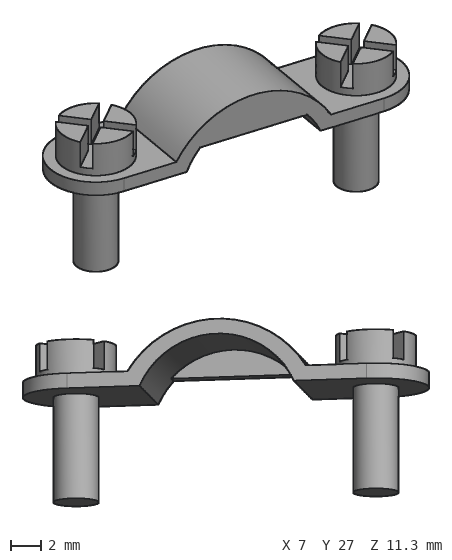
import cadquery as cq
import math

length = 27.0
width = 7.0
thickness = 1.0
arch_height = 4.32
outer_radius = 7.0
inner_radius = 5.65

web_thickness = 1.0
web_bottom = 1.55

screw_offset = (length - width) / 2
head_diameter = 5.3
head_top = 3.43
shank_diameter = 3.0
shank_length = 7.0
slot_width = 0.85
slot_floor = 1.55
slot_angles = (45, 135)


def half_chord(radius, crown, z):
    """Half width, at height z, of a circle centred on Y = 0 whose top is at crown."""
    return math.sqrt(radius**2 - (z - crown + radius) ** 2)


def make_strap():
    inner_crown = arch_height - thickness
    outer_foot = half_chord(outer_radius, arch_height, thickness)
    inner_foot = half_chord(inner_radius, inner_crown, 0)
    web_half = half_chord(inner_radius, inner_crown, web_bottom)
    end = length / 2

    strap = (
        cq.Workplane("YZ", origin=(-width / 2, 0, 0))
        .moveTo(-end, 0)
        .lineTo(-inner_foot, 0)
        .threePointArc((0, inner_crown), (inner_foot, 0))
        .lineTo(end, 0)
        .lineTo(end, thickness)
        .lineTo(outer_foot, thickness)
        .threePointArc((0, arch_height), (-outer_foot, thickness))
        .lineTo(-end, thickness)
        .close()
        .extrude(width)
    )
    rounded_outline = cq.Workplane("XY").slot2D(length, width, 90).extrude(arch_height)
    web = (
        cq.Workplane("YZ", origin=(width / 2, 0, 0))
        .moveTo(-web_half, web_bottom)
        .threePointArc((0, inner_crown), (web_half, web_bottom))
        .close()
        .extrude(-web_thickness)
    )
    return strap.intersect(rounded_outline).union(web)


def make_screw(y):
    """Cross-slotted screw whose head rests on the ear and whose shank passes through it."""
    base = cq.Workplane("XY", origin=(0, y, 0))
    head = base.workplane(offset=thickness).circle(head_diameter / 2).extrude(head_top - thickness)
    shank = base.workplane(offset=-shank_length).circle(shank_diameter / 2).extrude(shank_length + thickness)
    for angle in slot_angles:
        slot = (
            base.workplane(offset=slot_floor)
            .transformed(rotate=(0, 0, angle))
            .rect(2 * head_diameter, slot_width)
            .extrude(head_top - slot_floor)
        )
        head = head.cut(slot)
    return head.union(shank)


result = make_strap()
for side in (-1, 1):
    result = result.union(make_screw(side * screw_offset))